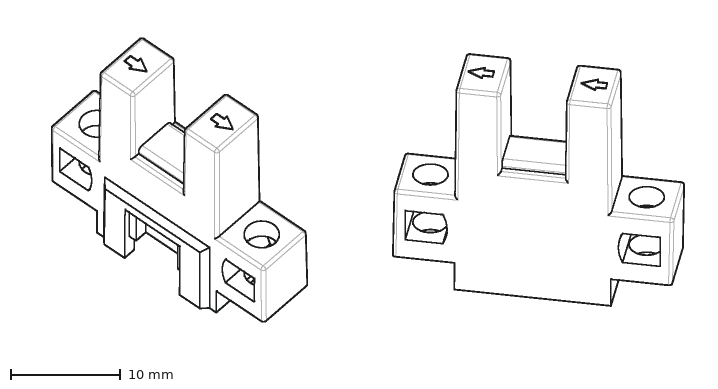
import cadquery as cq
import math

TOTAL_HEIGHT = 22.5
ARROW_HEIGHT = 0.08
PILLAR_TOP_Z = TOTAL_HEIGHT - ARROW_HEIGHT
WING_BOTTOM_Z = 3.0
WING_TOP_Z = 10.4
SLOT_FLOOR_Z = 13.6

TOTAL_LENGTH = 26.0
WING_END_SLANT_DEG = 1.0
BODY_WIDTH = 14.5
PILLAR_TOP_WIDTH = 14.3
SLOT_WIDTH_BOTTOM = 5.98
SLOT_WIDTH_TOP = 6.13

BODY_DEPTH = 6.26
DRAFT_DEG = 0.5
EDGE_RADIUS = 0.3

PLATE_THICKNESS = 0.62
PLATE_WIDTH_BOTTOM = 12.87
PLATE_WIDTH_TOP = 12.74
PLATE_TOP_Z = 8.42

OPENING_WIDTH = 6.65
OPENING_TOP_Z = 6.75
OPENING_RIB_Y = -3.1
OPENING_BACK_Y = -1.75
RIB_GAP = 5.05
CAVITY_WIDTH = 9.0
CAVITY_TOP_Z = 2.47
CAVITY_WALL = 0.73

HOLE_PITCH = 20.0
HOLE_DIAMETER = 3.2
WINDOW_BOTTOM_Z = 5.02
WINDOW_TOP_Z = 8.26
WINDOW_OUTER_X = 11.8
WINDOW_INNER_X = 8.32
WINDOW_BULGE = 0.4

STEP_TOP_Z = 14.32
STEP_DEPTH = 4.42
STEP_RADIUS = 0.5

ARROW_TAIL_X = (-6.3, 4.18)
ARROW_LENGTH = 2.35
ARROW_SHAFT_LENGTH = 0.9
ARROW_SHAFT_WIDTH = 0.83
ARROW_HEAD_WIDTH = 1.6

FRONT_Y = -BODY_DEPTH / 2
PLATE_FRONT_Y = FRONT_Y - PLATE_THICKNESS
DRAFT = math.tan(math.radians(DRAFT_DEG))


def block(width, y_min, y_max, z_min, z_max):
    """Box centred on X between the given Y and Z limits."""
    box = cq.Workplane("XY").box(width, y_max - y_min, z_max - z_min, centered=(True, False, False))
    return box.translate((0, y_min, z_min))


def extrude_along_y(points, y_min, y_max):
    """Prism from an XZ outline, filling the given Y range."""
    outline = cq.Workplane("XZ", origin=(0, y_max, 0)).polyline(points).close()
    return outline.extrude(y_max - y_min)


def drafted_envelope():
    """Full-length wedge that gives the front and back faces their draft."""
    half_bottom = BODY_DEPTH / 2
    half_top = half_bottom - PILLAR_TOP_Z * DRAFT
    section = [
        (-half_bottom, 0),
        (half_bottom, 0),
        (half_top, PILLAR_TOP_Z),
        (-half_top, PILLAR_TOP_Z),
    ]
    wedge = cq.Workplane("YZ").polyline(section).close()
    return wedge.extrude(TOTAL_LENGTH / 2, both=True)


def housing():
    """Wings and both pillars, with rounded outer edges; both wing ends lean towards -X going up."""
    half_length = TOTAL_LENGTH / 2
    slant = (WING_TOP_Z - WING_BOTTOM_Z) * math.tan(math.radians(WING_END_SLANT_DEG))
    outline = [
        (-half_length + slant, WING_BOTTOM_Z),
        (half_length, WING_BOTTOM_Z),
        (half_length - slant, WING_TOP_Z),
        (BODY_WIDTH / 2, WING_TOP_Z),
        (PILLAR_TOP_WIDTH / 2, PILLAR_TOP_Z),
        (SLOT_WIDTH_TOP / 2, PILLAR_TOP_Z),
        (SLOT_WIDTH_BOTTOM / 2, SLOT_FLOOR_Z),
        (-SLOT_WIDTH_BOTTOM / 2, SLOT_FLOOR_Z),
        (-SLOT_WIDTH_TOP / 2, PILLAR_TOP_Z),
        (-PILLAR_TOP_WIDTH / 2, PILLAR_TOP_Z),
        (-BODY_WIDTH / 2, WING_TOP_Z),
        (-half_length, WING_TOP_Z),
    ]
    blank = extrude_along_y(outline, -BODY_DEPTH / 2, BODY_DEPTH / 2)
    blank = blank.intersect(drafted_envelope())

    face_edges = blank.faces("<Y or >Y").edges("not <Z")
    pillar_top_edges = blank.faces(">Z").edges("|Y")
    rounded_edges = face_edges.add(pillar_top_edges)
    for wing_end_x in (-half_length, half_length - slant):
        wing_corner = cq.selectors.NearestToPointSelector((wing_end_x, 0, WING_TOP_Z))
        rounded_edges = rounded_edges.add(blank.edges("|Y").edges(wing_corner))
    return blank.newObject(rounded_edges.vals()).fillet(EDGE_RADIUS)


def skirt():
    """Sharp-edged lower body between the wings, running down to the bottom face."""
    core = block(BODY_WIDTH, -BODY_DEPTH / 2, BODY_DEPTH / 2, 0, WING_BOTTOM_Z)
    return core.intersect(drafted_envelope())


def front_plate():
    """Plate on the front face, bevelled at its top and sides and drafted like the face."""
    face_shift = PLATE_TOP_Z * DRAFT
    half_bottom = PLATE_WIDTH_BOTTOM / 2
    half_top = PLATE_WIDTH_TOP / 2
    bevel = PLATE_THICKNESS

    def outline(inset, y_bottom):
        y_top = y_bottom + face_shift
        return [
            cq.Vector(-half_bottom + inset, y_bottom, 0),
            cq.Vector(half_bottom - inset, y_bottom, 0),
            cq.Vector(half_top - inset, y_top - inset * DRAFT, PLATE_TOP_Z - inset),
            cq.Vector(-half_top + inset, y_top - inset * DRAFT, PLATE_TOP_Z - inset),
        ]

    above_bottom = block(TOTAL_LENGTH, PLATE_FRONT_Y, 0, 0, TOTAL_HEIGHT)
    rear = cq.Wire.makePolygon(outline(-bevel, FRONT_Y + bevel), close=True)
    front = cq.Wire.makePolygon(outline(bevel, PLATE_FRONT_Y), close=True)
    return cq.Workplane(cq.Solid.makeLoft([rear, front], True)).intersect(above_bottom)


def connector_space():
    """Opening in the plate with two side ribs, and the wider cavity open at the bottom."""
    mouth = block(OPENING_WIDTH, PLATE_FRONT_Y, OPENING_RIB_Y, 0, OPENING_TOP_Z)
    recess = block(RIB_GAP, PLATE_FRONT_Y, OPENING_BACK_Y, 0, OPENING_TOP_Z)
    entry = block(OPENING_WIDTH, PLATE_FRONT_Y, 0, 0, CAVITY_TOP_Z)
    cavity_half_depth = BODY_DEPTH / 2 - CAVITY_WALL
    cavity = block(CAVITY_WIDTH, -cavity_half_depth, cavity_half_depth, 0, CAVITY_TOP_Z)
    return mouth.union(recess).union(entry).union(cavity)


def wing_openings(side):
    """Vertical round hole and through window of one wing; side is -1 or 1."""
    hole = (
        cq.Workplane("XY")
        .center(side * HOLE_PITCH / 2, 0)
        .circle(HOLE_DIAMETER / 2)
        .extrude(TOTAL_HEIGHT)
    )
    middle_z = (WINDOW_BOTTOM_Z + WINDOW_TOP_Z) / 2
    window = (
        cq.Workplane("XZ")
        .moveTo(side * WINDOW_INNER_X, WINDOW_BOTTOM_Z)
        .lineTo(side * WINDOW_OUTER_X, WINDOW_BOTTOM_Z)
        .lineTo(side * WINDOW_OUTER_X, WINDOW_TOP_Z)
        .lineTo(side * WINDOW_INNER_X, WINDOW_TOP_Z)
        .threePointArc(
            (side * (WINDOW_INNER_X - WINDOW_BULGE), middle_z),
            (side * WINDOW_INNER_X, WINDOW_BOTTOM_Z),
        )
        .close()
        .extrude(BODY_DEPTH, both=True)
    )
    return hole.union(window)


def slot_step():
    """Low step with rounded shoulders across the slot floor, reaching into both pillars."""
    step = block(SLOT_WIDTH_TOP, -STEP_DEPTH / 2, STEP_DEPTH / 2, WING_TOP_Z, STEP_TOP_Z)
    return step.faces(">Z").edges("|X").fillet(STEP_RADIUS)


def arrow(tail_x):
    """Raised arrow pointing towards +X, sunk slightly into the pillar top."""
    head_x = tail_x + ARROW_SHAFT_LENGTH
    outline = [
        (tail_x, -ARROW_SHAFT_WIDTH / 2),
        (head_x, -ARROW_SHAFT_WIDTH / 2),
        (head_x, -ARROW_HEAD_WIDTH / 2),
        (tail_x + ARROW_LENGTH, 0),
        (head_x, ARROW_HEAD_WIDTH / 2),
        (head_x, ARROW_SHAFT_WIDTH / 2),
        (tail_x, ARROW_SHAFT_WIDTH / 2),
    ]
    base = cq.Workplane("XY", origin=(0, 0, PILLAR_TOP_Z - ARROW_HEIGHT))
    return base.polyline(outline).close().extrude(2 * ARROW_HEIGHT)


result = housing().union(skirt()).union(front_plate()).union(slot_step())
result = result.cut(connector_space())
for wing_side in (-1, 1):
    result = result.cut(wing_openings(wing_side))
for arrow_tail_x in ARROW_TAIL_X:
    result = result.union(arrow(arrow_tail_x))